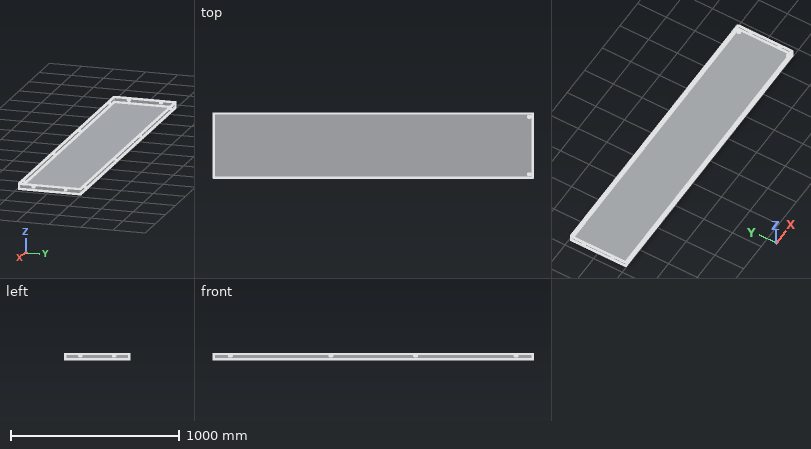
import cadquery as cq

length = 1897.0
width = 383.0
height = 32.0
sheet = 1.1
corner_radius = 2.0
inner_corner_radius = corner_radius - sheet

side_slot_length = 15.0
side_slot_height = 8.0
side_slot_x = (252.0, 850.0)

end_hole_diameter = 11.0
end_hole_y = 100.0

wall_opening_drop = 10.0

floor_slot_length = 11.0
floor_slot_width = 8.0
floor_slot_end_inset = 20.0
floor_slot_side_inset = 20.0

opening_z = height - wall_opening_drop


def make_tray():
    """Open sheet tray with rounded upright corners and its floor on Z = 0."""
    block = cq.Workplane("XY").box(length, width, height, centered=(True, True, False))
    block = block.edges("|Z").fillet(corner_radius)
    cavity = (
        cq.Workplane("XY")
        .workplane(offset=sheet)
        .rect(length - 2 * sheet, width - 2 * sheet)
        .extrude(height)
        .edges("|Z")
        .fillet(inner_corner_radius)
    )
    return block.cut(cavity)


def side_slots():
    """Cutters that pierce both long walls."""
    points = [(sign * x, opening_z) for x in side_slot_x for sign in (-1, 1)]
    return (
        cq.Workplane("XZ")
        .pushPoints(points)
        .slot2D(side_slot_length, side_slot_height)
        .extrude(width, both=True)
    )


def end_holes():
    """Cutters that pierce both end walls."""
    points = [(sign * end_hole_y, opening_z) for sign in (-1, 1)]
    return (
        cq.Workplane("YZ")
        .pushPoints(points)
        .circle(end_hole_diameter / 2)
        .extrude(length, both=True)
    )


def floor_slots():
    """Cutters that pierce the floor at the two +X corners."""
    x = length / 2 - floor_slot_end_inset
    y = width / 2 - floor_slot_side_inset
    return (
        cq.Workplane("XY")
        .pushPoints([(x, -y), (x, y)])
        .slot2D(floor_slot_length, floor_slot_width)
        .extrude(height)
    )


result = make_tray().cut(side_slots()).cut(end_holes()).cut(floor_slots())